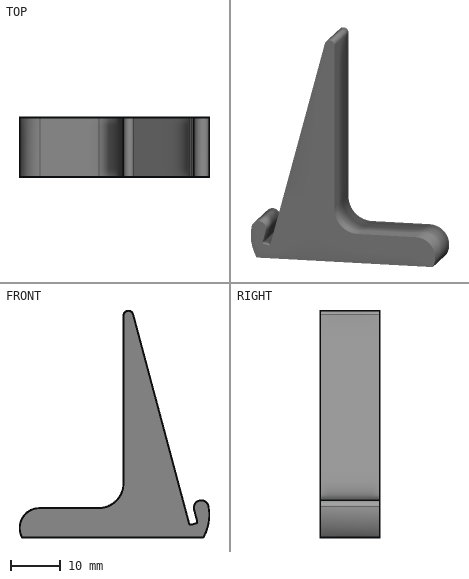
import cadquery as cq
import math

length = 38.15
width = 12.0
height = 45.65

foot_height = 6.0
foot_radius = 4.0

post_x = 20.85
tip_radius = 1.0
inner_radius = 4.95
slope = math.radians(15)

slot_gap = 1.65
slot_floor_z = 2.55
slot_corner_radius = 0.3
hook_radius = 1.5
hook_top = 7.55
back_radius = 9.15
back_corner_radius = 0.35


def polar(center, radius, angle):
    """Return the point on a circle at an angle measured from +X toward +Z."""
    return (center[0] + radius * math.cos(angle), center[1] + radius * math.sin(angle))


foot_center = (foot_radius, foot_height - foot_radius)
foot_base_x = foot_radius - math.sqrt(foot_radius**2 - foot_center[1] ** 2)

tip_center = (post_x + tip_radius, height - tip_radius)
slope_top = polar(tip_center, tip_radius, slope)
slot_left = (
    slope_top[0] + (slope_top[1] - slot_floor_z) * math.tan(slope),
    slot_floor_z,
)

slot_right = polar(slot_left, slot_gap, slope)

hook_center_z = hook_top - hook_radius
wall_normal_offset = slot_gap + hook_radius
hook_center = (
    slot_left[0]
    + wall_normal_offset / math.cos(slope)
    - (hook_center_z - slot_floor_z) * math.tan(slope),
    hook_center_z,
)
hook_wall = polar(hook_center, hook_radius, math.pi + slope)

back_center_x = length - back_radius
center_distance = back_radius - hook_radius
back_center = (
    back_center_x,
    hook_center_z - math.sqrt(center_distance**2 - (hook_center[0] - back_center_x) ** 2),
)
back_angle = math.atan2(hook_center_z - back_center[1], hook_center[0] - back_center_x)
hook_back = polar(hook_center, hook_radius, back_angle)
back_base_x = back_center_x + math.sqrt(back_radius**2 - back_center[1] ** 2)

body = (
    cq.Workplane("XZ")
    .moveTo(foot_base_x, 0)
    .threePointArc((0, foot_center[1]), (foot_radius, foot_height))
    .lineTo(post_x - inner_radius, foot_height)
    .radiusArc((post_x, foot_height + inner_radius), -inner_radius)
    .lineTo(post_x, tip_center[1])
    .threePointArc((tip_center[0], height), slope_top)
    .lineTo(*slot_left)
    .lineTo(*slot_right)
    .lineTo(*hook_wall)
    .threePointArc((hook_center[0], hook_top), hook_back)
    .threePointArc((length, back_center[1]), (back_base_x, 0))
    .close()
    .extrude(-width)
)


def round_corner(solid, corner, radius):
    """Round the edge running along Y through a corner of the side profile."""
    nearest = cq.selectors.NearestToPointSelector((corner[0], width / 2, corner[1]))
    return solid.edges("|Y").edges(nearest).fillet(radius)


body = round_corner(body, slot_left, slot_corner_radius)
body = round_corner(body, slot_right, slot_corner_radius)
result = round_corner(body, (back_base_x, 0), back_corner_radius)